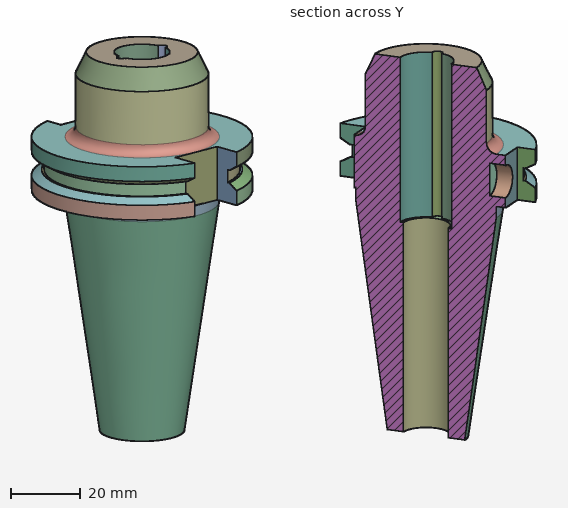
import cadquery as cq
import math

total_height = 112.7
taper_height = 68.4
collar_height = 3.2
flange_height = 15.9
flange_bottom = taper_height + collar_height
flange_top = flange_bottom + flange_height
flange_middle = flange_bottom + flange_height / 2

taper_ratio = 7 / 24
gauge_diameter = 44.4
small_end_diameter = gauge_diameter - taper_ratio * taper_height

flange_diameter = 63.5
groove_floor_diameter = 56.2
groove_floor_width = 3.7
groove_mouth_width = 7.1
groove_flank_angle = 30.0
groove_flank_height = (groove_mouth_width - groove_floor_width) / 2
groove_flank_depth = groove_flank_height / math.tan(math.radians(groove_flank_angle))

nose_diameter = 38.2
nose_tip_diameter = 32.0
nose_cone_height = 6.4
nose_fillet = 3.0

slot_width = 16.6
slot_floor_left = 25.0
slot_floor_right = 22.5

pocket_diameter = 9.7
pocket_depth = 5.0

bore_diameter = 16.0
bore_depth = 49.6
channel_diameter = 3.0
through_diameter = 14.0


def holder_body():
    """Revolve the taper, flange and nose about Z."""
    nose_radius = nose_diameter / 2
    flange_radius = flange_diameter / 2
    ledge_radius = flange_radius - groove_flank_depth
    groove_bottom = flange_middle - groove_floor_width / 2
    groove_top = flange_middle + groove_floor_width / 2
    profile = (
        cq.Workplane("XZ")
        .moveTo(0, 0)
        .lineTo(small_end_diameter / 2, 0)
        .lineTo(gauge_diameter / 2, taper_height)
        .lineTo(gauge_diameter / 2, flange_bottom)
        .lineTo(flange_radius, flange_bottom)
        .lineTo(flange_radius, flange_middle - groove_mouth_width / 2)
        .lineTo(ledge_radius, groove_bottom)
        .lineTo(groove_floor_diameter / 2, groove_bottom)
        .lineTo(groove_floor_diameter / 2, groove_top)
        .lineTo(ledge_radius, groove_top)
        .lineTo(flange_radius, flange_middle + groove_mouth_width / 2)
        .lineTo(flange_radius, flange_top)
        .lineTo(nose_radius + nose_fillet, flange_top)
        .radiusArc((nose_radius, flange_top + nose_fillet), nose_fillet)
        .lineTo(nose_radius, total_height - nose_cone_height)
        .lineTo(nose_tip_diameter / 2, total_height)
        .lineTo(0, total_height)
        .close()
    )
    return profile.revolve(360, (0, 0), (0, 1))


def drive_slot(floor_distance, side):
    """Block that cuts a slot through the flange; side is -1 for -X and +1 for +X."""
    block = cq.Workplane("XY").box(flange_diameter, slot_width, flange_height)
    return block.translate((side * (floor_distance + flange_diameter / 2), 0, flange_middle))


def slot_pocket():
    """Blind round pocket drilled along +X from the left slot floor."""
    floor = cq.Workplane("YZ", origin=(-slot_floor_left, 0, flange_middle))
    return floor.circle(pocket_diameter / 2).extrude(pocket_depth)


def tool_bore():
    """Stepped axial bore with a coolant channel on each side along Y."""
    top_face = cq.Workplane("XY", origin=(0, 0, total_height))
    bore = top_face.circle(bore_diameter / 2).extrude(-bore_depth)
    channels = (
        top_face.pushPoints([(0, bore_diameter / 2), (0, -bore_diameter / 2)])
        .circle(channel_diameter / 2)
        .extrude(-bore_depth)
    )
    through_hole = cq.Workplane("XY").circle(through_diameter / 2).extrude(total_height)
    return bore.union(channels).union(through_hole)


result = (
    holder_body()
    .cut(drive_slot(slot_floor_left, -1))
    .cut(drive_slot(slot_floor_right, 1))
    .cut(slot_pocket())
    .cut(tool_bore())
)